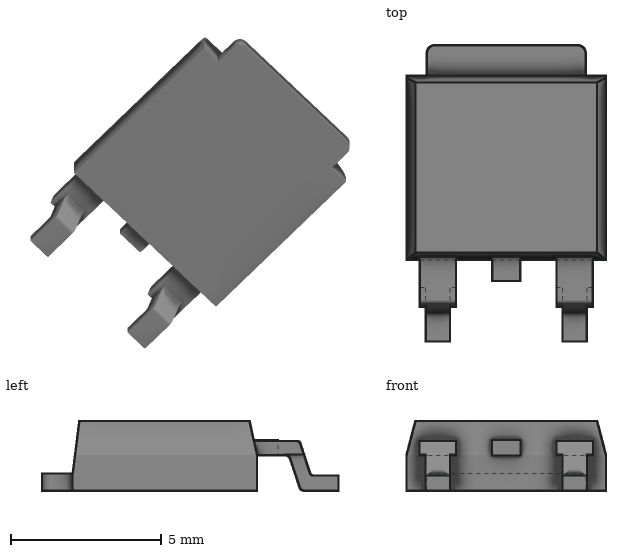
import cadquery as cq

BODY_WIDTH = 6.65
BODY_LENGTH = 6.14
BODY_HEIGHT = 2.33
PARTING_HEIGHT = 1.18
SIDE_DRAFT = 0.30
FRONT_DRAFT = 0.25
BACK_DRAFT = 0.22

TAB_WIDTH = 5.30
TAB_REACH = 1.02
TAB_THICKNESS = 0.58
TAB_CORNER_RADIUS = 0.28

LEAD_SPACING = 4.55
LEAD_REACH = 2.71
LEAD_TOP = 1.66
SHOULDER_WIDTH = 1.21
FOOT_WIDTH = 0.81
FOOT_THICKNESS = 0.51
SHOULDER_STEP_HEIGHT = 1.20
SHOULDER_STEP_REACH = 0.91
UPPER_BEND_REACH = 1.415
LOWER_BEND_REACH = 1.79
UNDERSIDE_BEND_REACH = 1.06
HEEL_REACH = 1.45
TOP_BEND_RADIUS = 0.12
UNDERSIDE_BEND_RADIUS = 0.17

PIN_WIDTH = 0.94
PIN_REACH = 0.70
PIN_TOP = 1.69

FRONT_Y = -BODY_LENGTH / 2
BACK_Y = BODY_LENGTH / 2
EMBED = 0.50


def block(width, y_start, y_end, z_start, z_end):
    """Axis-aligned block centred on X = 0."""
    return cq.Workplane("XY").box(
        width, y_end - y_start, z_end - z_start, centered=(True, False, False)
    ).translate((0, y_start, z_start))


def make_body():
    """Intersect the side and front outlines so that each wall has its own draft."""
    side_outline = [
        (FRONT_Y, 0),
        (BACK_Y, 0),
        (BACK_Y, TAB_THICKNESS),
        (BACK_Y - BACK_DRAFT, BODY_HEIGHT),
        (FRONT_Y + FRONT_DRAFT, BODY_HEIGHT),
        (FRONT_Y, PARTING_HEIGHT),
    ]
    half_width = BODY_WIDTH / 2
    half_top_width = half_width - SIDE_DRAFT
    front_outline = [
        (-half_width, 0),
        (half_width, 0),
        (half_width, PARTING_HEIGHT),
        (half_top_width, BODY_HEIGHT),
        (-half_top_width, BODY_HEIGHT),
        (-half_width, PARTING_HEIGHT),
    ]
    lengthwise = cq.Workplane("YZ").polyline(side_outline).close().extrude(half_width, both=True)
    crosswise = cq.Workplane("XZ").polyline(front_outline).close().extrude(BODY_LENGTH, both=True)
    return lengthwise.intersect(crosswise)


def make_tab():
    """Flat tab with its two free corners rounded."""
    tab = block(TAB_WIDTH, BACK_Y - EMBED, BACK_Y + TAB_REACH, 0, TAB_THICKNESS)
    return tab.edges("|Z and >Y").fillet(TAB_CORNER_RADIUS)


def make_lead(x_center):
    """Bent lead with a wide shoulder above a narrower leg and foot."""
    lead_outline = [
        (FRONT_Y + EMBED, PARTING_HEIGHT),
        (FRONT_Y + EMBED, LEAD_TOP),
        (FRONT_Y - UPPER_BEND_REACH, LEAD_TOP),
        (FRONT_Y - LOWER_BEND_REACH, FOOT_THICKNESS),
        (FRONT_Y - LEAD_REACH, FOOT_THICKNESS),
        (FRONT_Y - LEAD_REACH, 0),
        (FRONT_Y - HEEL_REACH, 0),
        (FRONT_Y - UNDERSIDE_BEND_REACH, PARTING_HEIGHT),
    ]
    lead = cq.Workplane("YZ").polyline(lead_outline).close().extrude(SHOULDER_WIDTH / 2, both=True)
    bends = [
        (UPPER_BEND_REACH, LEAD_TOP, TOP_BEND_RADIUS),
        (LOWER_BEND_REACH, FOOT_THICKNESS, TOP_BEND_RADIUS),
        (UNDERSIDE_BEND_REACH, PARTING_HEIGHT, UNDERSIDE_BEND_RADIUS),
        (HEEL_REACH, 0, UNDERSIDE_BEND_RADIUS),
    ]
    for reach, height, radius in bends:
        corner = cq.selectors.NearestToPointSelector((0, FRONT_Y - reach, height))
        lead = lead.edges("|X").edges(corner).fillet(radius)

    shoulder_end = FRONT_Y - SHOULDER_STEP_REACH
    leg_zone = block(SHOULDER_WIDTH, FRONT_Y - LEAD_REACH, shoulder_end, 0, SHOULDER_STEP_HEIGHT)
    leg_core = block(FOOT_WIDTH, FRONT_Y - LEAD_REACH, shoulder_end, 0, SHOULDER_STEP_HEIGHT)
    return lead.cut(leg_zone.cut(leg_core)).translate((x_center, 0, 0))


def make_pin():
    """Short pin resting on the parting plane midway between the leads."""
    return block(PIN_WIDTH, FRONT_Y - PIN_REACH, FRONT_Y + EMBED, PARTING_HEIGHT, PIN_TOP)


result = make_body().union(make_tab()).union(make_pin())
for side in (-1, 1):
    result = result.union(make_lead(side * LEAD_SPACING / 2))